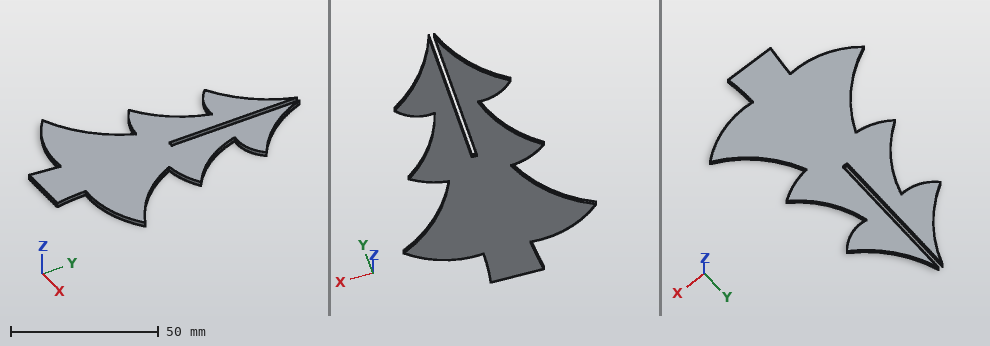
import cadquery as cq

height = 100.6
thickness = 1.6
slot_width = 1.8
slot_bottom = height / 2

right_arcs = [
    ((8.6, 86.6), (20.6, 75.8)),
    ((16.1, 72.1), (7.8, 70.9)),
    ((13.3, 58.8), (23.9, 48.0)),
    ((19.3, 45.4), (11.1, 43.2)),
    ((19.1, 30.9), (34.3, 19.9)),
    ((24.2, 14.0), (8.5, 11.8)),
    ((8.8, 5.4), (9.5, 0)),
]
left_arcs = [
    ((-8.6, 86.6), (-20.6, 76.1)),
    ((-14.9, 72.1), (-7.5, 71.0)),
    ((-13.3, 58.8), (-23.9, 48.1)),
    ((-19.5, 45.4), (-10.9, 43.2)),
    ((-18.8, 30.9), (-33.9, 19.9)),
    ((-23.9, 14.0), (-8.1, 11.8)),
    ((-8.8, 5.4), (-9.4, 0)),
]


def half_tree(arcs, slot_side):
    """One side of the tree, from the slot wall or centreline out to its arcs."""
    profile = cq.Workplane("XY").moveTo(slot_side * slot_width / 2, height)
    for middle, end in arcs:
        profile = profile.threePointArc(middle, end)
    profile = profile.lineTo(0, 0).lineTo(0, slot_bottom)
    profile = profile.lineTo(slot_side * slot_width / 2, slot_bottom)
    return profile.close().extrude(thickness)


right_half = half_tree(right_arcs, 1)
left_half = half_tree(left_arcs, -1)
result = right_half.union(left_half).clean()